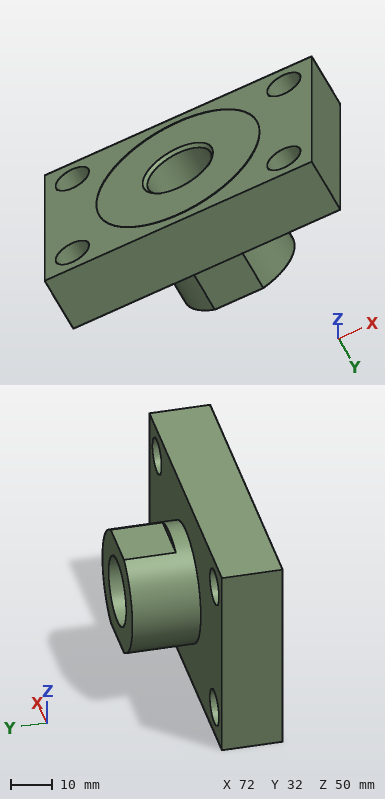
import cadquery as cq

plate_width = 72.0
plate_height = 50.0
plate_thickness = 15.0

mount_hole_diameter = 9.0
mount_spacing_x = 57.0
mount_spacing_z = 35.0

pad_diameter = 44.0
pad_height = 0.15

overall_depth = 32.0
boss_diameter = 30.0
boss_length = overall_depth - plate_thickness - pad_height
flat_distance = 27.0
flat_length = 12.8

bore_diameter = 17.33
bore_mouth_diameter = 19.0
bore_chamfer = (bore_mouth_diameter - bore_diameter) / 2

plate_front_y = pad_height
plate_back_y = plate_front_y + plate_thickness
boss_end_y = plate_back_y + boss_length


def cross_section(y):
    """Workplane normal to +Y at the given depth, centred on the bore axis."""
    return cq.Workplane("XZ", origin=(0, y, 0))


def cylinder(diameter, start_y, end_y):
    """Cylinder along the bore axis between two depths."""
    return cross_section(start_y).circle(diameter / 2).extrude(start_y - end_y)


def make_plate():
    plate = cross_section(plate_front_y).rect(plate_width, plate_height).extrude(-plate_thickness)
    holes = (
        cross_section(plate_front_y)
        .rect(mount_spacing_x, mount_spacing_z, forConstruction=True)
        .vertices()
        .circle(mount_hole_diameter / 2)
        .extrude(-plate_thickness)
    )
    return plate.cut(holes)


def make_boss():
    boss = cylinder(boss_diameter, plate_back_y, boss_end_y)
    shoulder_y = boss_end_y - flat_length
    shoulder = cylinder(boss_diameter, plate_back_y, shoulder_y)
    flat_envelope = cross_section(shoulder_y).rect(boss_diameter, flat_distance).extrude(-flat_length)
    return shoulder.union(boss.intersect(flat_envelope))


def make_bore():
    bore = cylinder(bore_diameter, 0, boss_end_y)
    mouth_profile = [
        (0, 0),
        (bore_mouth_diameter / 2, 0),
        (bore_diameter / 2, bore_chamfer),
        (0, bore_chamfer),
    ]
    mouth = cq.Workplane("XY").polyline(mouth_profile).close().revolve(360, (0, 0, 0), (0, 1, 0))
    return bore.union(mouth)


pad = cylinder(pad_diameter, 0, plate_front_y)
result = make_plate().union(pad).union(make_boss()).cut(make_bore())